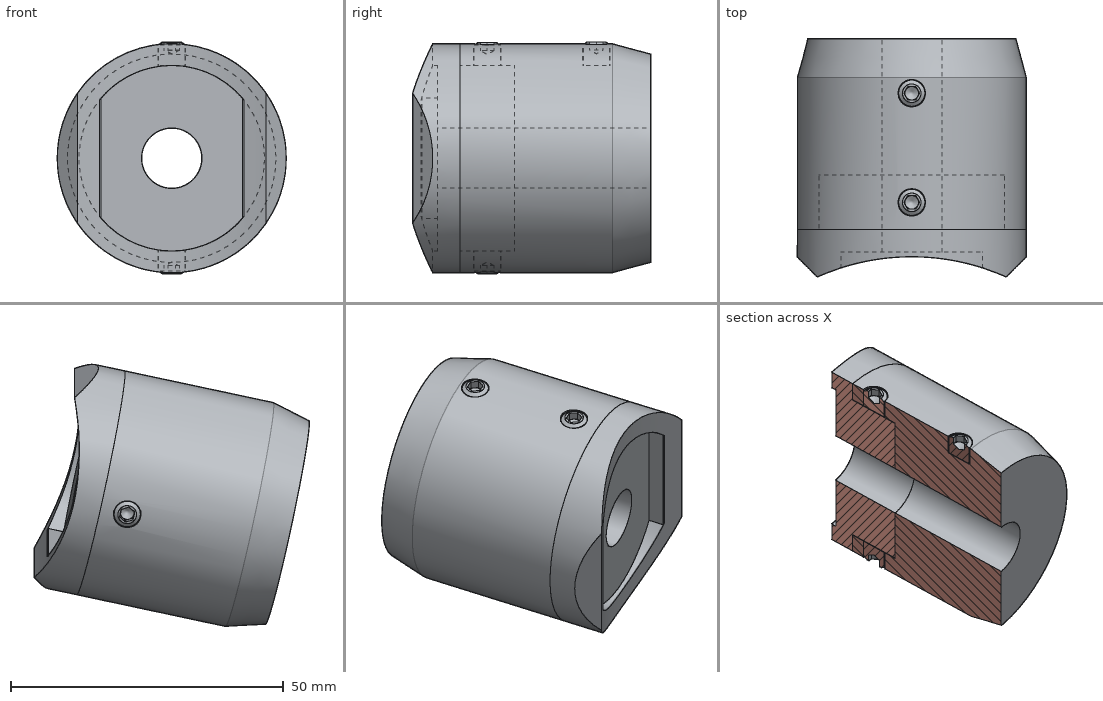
import cadquery as cq
import math

length = 43.69
sleeve_length = 35.0
seam_y = length - sleeve_length
body_diameter = 42.0
body_radius = body_diameter / 2
bore_diameter = 11.0

taper_angle = 15.0
rear_diameter = 38.2
taper_length = (body_diameter - rear_diameter) / 2 / math.tan(math.radians(taper_angle))
taper_start_y = length - taper_length

saddle_tip_x = 17.3
saddle_depth = 3.7
saddle_radius = (saddle_tip_x**2 + saddle_depth**2) / (2 * saddle_depth)
bevel_size = body_radius - saddle_tip_x

recess_diameter = 34.0
recess_width = 25.9
recess_depth = 0.9
recess_floor_y = saddle_depth + recess_depth
step_width = 26.45
step_depth = 0.1

front_screw_offset = 5.0
screw_spacing = 20.0
front_screw_y = seam_y + front_screw_offset
rear_screw_y = front_screw_y + screw_spacing
hole_diameter = 5.0
screw_diameter = 4.8
screw_crown_diameter = 3.4
screw_crown_height = 0.5
socket_width = 2.5
socket_corner_diameter = socket_width / math.cos(math.radians(30))
socket_depth = 1.5
socket_point_depth = 0.7
rear_top_height = 21.34
front_top_height = 21.22
front_bottom_height = 21.2

spigot_diameter = 34.0
spigot_radius = spigot_diameter / 2
spigot_end_y = seam_y + 2 * front_screw_offset

screw_places = [
    (rear_screw_y, rear_top_height, 0),
    (front_screw_y, front_top_height, 0),
    (front_screw_y, front_bottom_height, 180),
]


def cylinder_along_y(diameter, start_y, end_y):
    return cq.Workplane("XZ", origin=(0, start_y, 0)).circle(diameter / 2).extrude(start_y - end_y)


def make_saddle_cutter(extra_depth=0):
    return (
        cq.Workplane("XY")
        .center(0, saddle_depth - saddle_radius)
        .circle(saddle_radius + extra_depth)
        .extrude(body_radius, both=True)
    )


def make_bevel_cutter(side):
    """Wedge that bevels the outer side of one saddle tip at 45 degrees."""
    corners = [
        (side * saddle_tip_x, 0),
        (side * body_radius, 0),
        (side * body_radius, bevel_size),
    ]
    return cq.Workplane("XY").polyline(corners).close().extrude(body_radius, both=True)


def make_recess_cutter(width):
    """Round disc with two flats, as deep as the recess floor."""
    flats = cq.Workplane("XY").box(width, 2 * recess_floor_y, recess_diameter)
    return cylinder_along_y(recess_diameter, 0, recess_floor_y).intersect(flats)


def make_cap():
    cap = cylinder_along_y(body_diameter, 0, seam_y)
    cap = cap.union(cylinder_along_y(spigot_diameter, seam_y, spigot_end_y))
    cap = cap.cut(make_saddle_cutter())
    for side in (-1, 1):
        cap = cap.cut(make_bevel_cutter(side))
    cap = cap.cut(make_recess_cutter(recess_width))
    cap = cap.cut(make_recess_cutter(step_width).intersect(make_saddle_cutter(step_depth)))
    return cap.cut(cylinder_along_y(bore_diameter, 0, spigot_end_y))


def place_across(shape, y, turn):
    """Turn a shape that points up about the Y axis and move it to its station."""
    return shape.rotate((0, 0, 0), (0, 1, 0), turn).translate((0, y, 0))


def make_sleeve():
    profile = [
        (0, seam_y),
        (body_radius, seam_y),
        (body_radius, taper_start_y),
        (rear_diameter / 2, length),
        (0, length),
    ]
    sleeve = cq.Workplane("XY").polyline(profile).close().revolve(360, (0, 0, 0), (0, 1, 0))
    sleeve = sleeve.cut(cylinder_along_y(spigot_diameter, seam_y, spigot_end_y))
    sleeve = sleeve.cut(cylinder_along_y(bore_diameter, seam_y, length))
    hole = (
        cq.Workplane("XY", origin=(0, 0, spigot_radius))
        .circle(hole_diameter / 2)
        .extrude(body_radius - spigot_radius)
    )
    for y, _, turn in screw_places:
        sleeve = sleeve.cut(place_across(hole, y, turn))
    return sleeve


def make_screw(y, height, turn):
    """Set screw from the spigot radius outward, with a hexagon socket."""
    profile = [
        (0, spigot_radius),
        (screw_diameter / 2, spigot_radius),
        (screw_diameter / 2, height - screw_crown_height),
        (screw_crown_diameter / 2, height),
        (0, height),
    ]
    screw = cq.Workplane("XZ").polyline(profile).close().revolve(360, (0, 0, 0), (0, 1, 0))
    socket = (
        cq.Workplane("XY", origin=(0, 0, height))
        .polygon(6, socket_corner_diameter)
        .extrude(-socket_depth)
    )
    socket_point = cq.Workplane(
        cq.Solid.makeCone(
            socket_width / 2,
            0,
            socket_point_depth,
            cq.Vector(0, 0, height - socket_depth),
            cq.Vector(0, 0, -1),
        )
    )
    return place_across(screw.cut(socket).cut(socket_point), y, turn)


cap = make_cap()
sleeve = make_sleeve()
screws = [make_screw(y, height, turn) for y, height, turn in screw_places]

result = cq.Compound.makeCompound([cap.val(), sleeve.val(), *[screw.val() for screw in screws]])